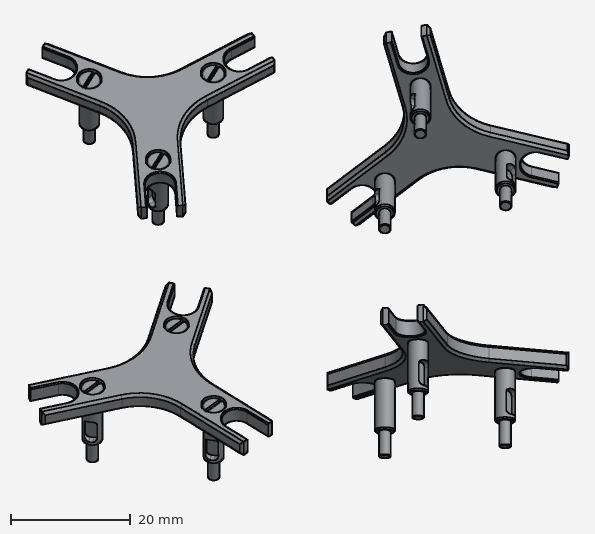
import cadquery as cq
import math

OVERALL_WIDTH = 41.6
ARM_ANGLES = (60.0, 180.0, 300.0)
ARM_WIDTH = 8.0
PLATE_THICKNESS = 3.0
PLATE_CHAMFER = 0.5
CROTCH_RADIUS = 10.0

FORK_WIDTH = 5.0
FORK_STRAIGHT = 4.8
FORK_CHAMFER = 0.2

SCREW_RADIAL_POSITION = 12.0
COUNTERBORE_DIAMETER = 4.2
HEAD_DIAMETER = 3.8
HEAD_HEIGHT = 1.3
HEAD_RECESS = 0.2
HEAD_FILLET = 0.2
DRIVER_SLOT_WIDTH = 0.5
DRIVER_SLOT_DEPTH = 0.6
SHANK_DIAMETER = 2.0
THREAD_ENGAGEMENT = 2.5

BARREL_DIAMETER = 3.4
BARREL_LENGTH = 9.0
BARREL_TOP_CHAMFER = 0.12
BARREL_BOTTOM_CHAMFER = 0.25
STUB_DIAMETER = 2.0
STUB_LENGTH = 4.4
STUB_CHAMFER = 0.12
POCKET_WIDTH = 2.2
POCKET_HEIGHT = 4.5
POCKET_CORNER_RADIUS = 0.75
POCKET_TOP_DEPTH = 3.6
POCKET_FLOOR_OFFSET = 0.4
POCKET_ANGLES = (120.0, 120.0, 240.0)

HALF_PITCH = math.radians(180 / len(ARM_ANGLES))
CROTCH_BEND = math.pi / 2 - HALF_PITCH
HALF_ARM = ARM_WIDTH / 2
TIP_HALF_WIDTH = HALF_ARM - PLATE_CHAMFER
TILT = math.radians(ARM_ANGLES[0])
ARM_LENGTH = (OVERALL_WIDTH / 2 - TIP_HALF_WIDTH * math.cos(TILT)) / math.sin(TILT)
CROTCH_DISTANCE = HALF_ARM / math.sin(HALF_PITCH)
FILLET_END_ALONG_ARM = HALF_ARM / math.tan(HALF_PITCH) + CROTCH_RADIUS * math.tan(CROTCH_BEND)
COUNTERBORE_FLOOR = PLATE_THICKNESS - HEAD_RECESS - HEAD_HEIGHT
FORK_CENTER = ARM_LENGTH - FORK_STRAIGHT


def polar(radius, angle):
    """Point in the XY plane at a radius and an angle in degrees."""
    return (radius * math.cos(math.radians(angle)), radius * math.sin(math.radians(angle)))


def arm_point(along, across, angle):
    """Point given along and across an arm that lies at the angle."""
    x, y = polar(along, angle)
    dx, dy = polar(across, angle + 90)
    return (x + dx, y + dy)


def turned(body, angle):
    return body.rotate((0, 0, 0), (0, 0, 1), angle)


def arm_tip_envelope():
    """Keeps what lies within the arm length and trims the two tip corners."""
    return (
        cq.Workplane("XY")
        .polyline([
            (0, -HALF_ARM),
            (ARM_LENGTH - PLATE_CHAMFER, -HALF_ARM),
            (ARM_LENGTH, -TIP_HALF_WIDTH),
            (ARM_LENGTH, TIP_HALF_WIDTH),
            (ARM_LENGTH - PLATE_CHAMFER, HALF_ARM),
            (0, HALF_ARM),
        ])
        .close()
        .extrude(PLATE_THICKNESS)
    )


def fork_outline(half_width):
    """Round-ended slot outline that runs out past the arm tip."""
    open_end = ARM_LENGTH + FORK_WIDTH
    return (
        cq.Workplane("XY")
        .moveTo(open_end, -half_width)
        .lineTo(FORK_CENTER, -half_width)
        .threePointArc((FORK_CENTER - half_width, 0), (FORK_CENTER, half_width))
        .lineTo(open_end, half_width)
        .close()
    )


def fork_slot():
    """Cutter for the open slot, flared by a chamfer at both faces."""
    through = fork_outline(FORK_WIDTH / 2).extrude(PLATE_THICKNESS)
    lower_flare = fork_outline(FORK_WIDTH / 2 + FORK_CHAMFER).extrude(FORK_CHAMFER, taper=45)
    upper_flare = lower_flare.mirror("XY").translate((0, 0, PLATE_THICKNESS))
    return through.union(lower_flare).union(upper_flare)


def screw_hole():
    """Cutter for the shank hole and the counterbore above it."""
    shank_hole = cq.Workplane("XY").circle(SHANK_DIAMETER / 2).extrude(PLATE_THICKNESS)
    counterbore = (
        cq.Workplane("XY", origin=(0, 0, COUNTERBORE_FLOOR))
        .circle(COUNTERBORE_DIAMETER / 2)
        .extrude(PLATE_THICKNESS - COUNTERBORE_FLOOR)
    )
    return shank_hole.union(counterbore).translate((SCREW_RADIAL_POSITION, 0, 0))


def make_plate():
    blank_length = ARM_LENGTH + 2 * PLATE_CHAMFER
    outline = []
    for angle in ARM_ANGLES:
        outline.append(arm_point(blank_length, -HALF_ARM, angle))
        outline.append(arm_point(blank_length, HALF_ARM, angle))
        outline.append(polar(CROTCH_DISTANCE, angle + math.degrees(HALF_PITCH)))
    blank = cq.Workplane("XY").polyline(outline).close().extrude(PLATE_THICKNESS)
    near_axis = cq.selectors.BoxSelector(
        (-ARM_WIDTH, -ARM_WIDTH, 0), (ARM_WIDTH, ARM_WIDTH, PLATE_THICKNESS)
    )
    blank = blank.edges("|Z").edges(near_axis).fillet(CROTCH_RADIUS)
    blank = blank.faces("<Z or >Z").edges().chamfer(PLATE_CHAMFER)

    hub_radius = math.hypot(FILLET_END_ALONG_ARM, HALF_ARM)
    envelope = cq.Workplane("XY").circle(hub_radius).extrude(PLATE_THICKNESS)
    for angle in ARM_ANGLES:
        envelope = envelope.union(turned(arm_tip_envelope(), angle))
    plate = blank.intersect(envelope)
    for angle in ARM_ANGLES:
        plate = plate.cut(turned(fork_slot(), angle))
        plate = plate.cut(turned(screw_hole(), angle))
    return plate


def make_screw(arm_angle):
    x, y = polar(SCREW_RADIAL_POSITION, arm_angle)
    head = (
        cq.Workplane("XY", origin=(0, 0, COUNTERBORE_FLOOR))
        .circle(HEAD_DIAMETER / 2)
        .extrude(HEAD_HEIGHT)
        .faces(">Z")
        .edges()
        .fillet(HEAD_FILLET)
    )
    driver_slot = (
        cq.Workplane("XY", origin=(0, 0, COUNTERBORE_FLOOR + HEAD_HEIGHT))
        .rect(DRIVER_SLOT_WIDTH, HEAD_DIAMETER)
        .extrude(-DRIVER_SLOT_DEPTH)
    )
    shank = (
        cq.Workplane("XY", origin=(0, 0, -THREAD_ENGAGEMENT))
        .circle(SHANK_DIAMETER / 2)
        .extrude(THREAD_ENGAGEMENT + COUNTERBORE_FLOOR)
    )
    return head.cut(driver_slot).union(shank).translate((x, y, 0))


def side_pocket():
    """Cutter facing +X, with its floor parallel to the standoff axis."""
    return (
        cq.Workplane("YZ", origin=(POCKET_FLOOR_OFFSET, 0, -POCKET_TOP_DEPTH - POCKET_HEIGHT / 2))
        .rect(POCKET_WIDTH, POCKET_HEIGHT)
        .extrude(BARREL_DIAMETER)
        .edges("|X")
        .fillet(POCKET_CORNER_RADIUS)
    )


def make_standoff(arm_angle, pocket_angle):
    x, y = polar(SCREW_RADIAL_POSITION, arm_angle)
    barrel = (
        cq.Workplane("XY")
        .circle(BARREL_DIAMETER / 2)
        .extrude(-BARREL_LENGTH)
        .faces(">Z")
        .chamfer(BARREL_TOP_CHAMFER)
        .faces("<Z")
        .chamfer(BARREL_BOTTOM_CHAMFER)
    )
    stub = (
        cq.Workplane("XY", origin=(0, 0, -BARREL_LENGTH))
        .circle(STUB_DIAMETER / 2)
        .extrude(-STUB_LENGTH)
        .faces("<Z")
        .chamfer(STUB_CHAMFER)
    )
    screw_socket = cq.Workplane("XY").circle(SHANK_DIAMETER / 2).extrude(-THREAD_ENGAGEMENT)
    standoff = barrel.union(stub).cut(screw_socket).cut(turned(side_pocket(), pocket_angle))
    return standoff.translate((x, y, 0))


plate = make_plate()
screws = [make_screw(angle) for angle in ARM_ANGLES]
standoffs = [make_standoff(arm, pocket) for arm, pocket in zip(ARM_ANGLES, POCKET_ANGLES)]

result = cq.Compound.makeCompound([
    plate.val(),
    *[screw.val() for screw in screws],
    *[standoff.val() for standoff in standoffs],
])